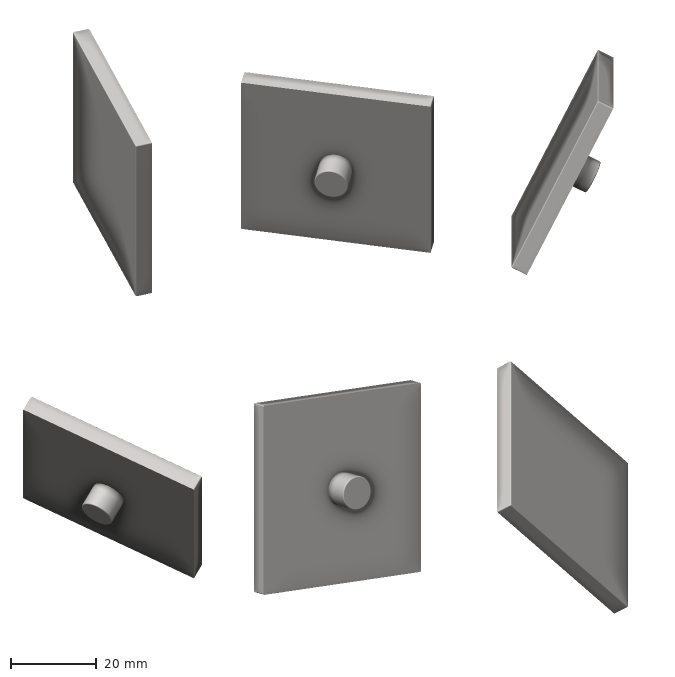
import cadquery as cq

plate_side = 45.0
plate_thickness = 4.0

stud_diameter = 8.0
stud_length = 6.0

edge_radius = 0.25


def make_plate():
    """Plate with its back on Y = 0; every edge is rounded except the back rim."""
    plate = cq.Workplane("XZ").rect(plate_side, plate_side).extrude(plate_thickness)
    return plate.edges("|Y or <Y").fillet(edge_radius)


def make_stud():
    """Stud along +Y from the back of the plate, with a rounded free end."""
    stud = cq.Workplane("XZ").circle(stud_diameter / 2).extrude(-stud_length)
    return stud.faces(">Y").edges().fillet(edge_radius)


result = make_plate().union(make_stud())